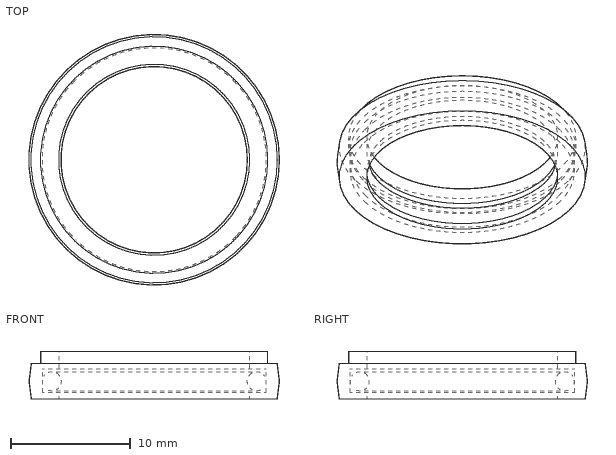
import cadquery as cq

outer_radius = 10.45
band_end_radius = 10.26
collar_radius = 9.47
bore_radius = 7.96
total_height = 4.0
band_height = 2.99
band_middle = band_height / 2

groove_width = 1.99
groove_bottom = 0.55
groove_top = groove_bottom + groove_width

seal_inner_radius = 7.75
seal_section_radius = 0.8
seal_center_radius = seal_inner_radius + seal_section_radius
groove_radius = seal_center_radius + seal_section_radius


def make_housing():
    """Ring with a double-tapered band, a plain collar on top and a square internal groove."""
    profile = [
        (bore_radius, 0),
        (band_end_radius, 0),
        (outer_radius, band_middle),
        (band_end_radius, band_height),
        (collar_radius, band_height),
        (collar_radius, total_height),
        (bore_radius, total_height),
        (bore_radius, groove_top),
        (groove_radius, groove_top),
        (groove_radius, groove_bottom),
        (bore_radius, groove_bottom),
    ]
    return cq.Workplane("XZ").polyline(profile).close().revolve(360, (0, 0), (0, 1))


def make_seal():
    """Round-section seal ring that touches the groove floor and stands slightly into the bore."""
    section = cq.Workplane("XZ").center(seal_center_radius, band_middle).circle(seal_section_radius)
    return section.revolve(360, (-seal_center_radius, 0), (-seal_center_radius, 1))


housing = make_housing()
seal = make_seal()

result = cq.Compound.makeCompound([housing.val(), seal.val()])